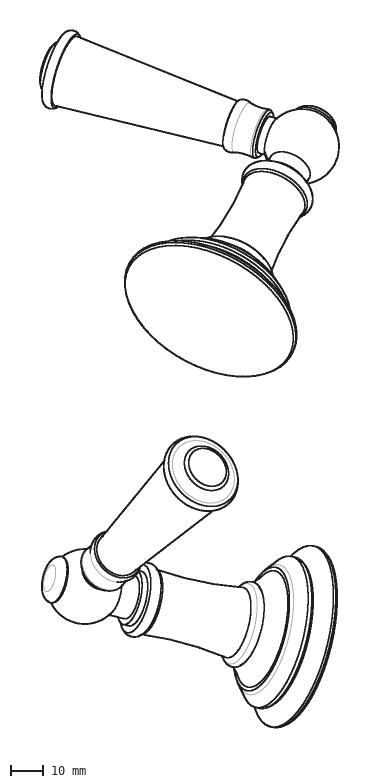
import cadquery as cq

base_radius = 28.3
lever_reach = 112.1 - base_radius
rim_radius = 12.4
ball_height = 84.4 - rim_radius
ball_radius = 11.4

foot_edge = 1.6
foot_face_radius = 27.8
foot_top = 5.8
foot_top_radius = 23.1
step_radius = 23.7
step_bottom = 6.6
step_top = 7.8
shoulder_top = 11.2
shoulder_radius = 20.3
lip_top = 12.0
lip_radius = 19.3
cone_radius = 18.2

bead_bottom = 17.3
bead_top = 19.7
bead_seat_radius = 12.5
bead_radius = 13.3
shaft_bottom = 21.0
shaft_bottom_radius = 11.0
waist_height = 38.1
waist_radius = 9.6
shaft_top = 50.6
shaft_top_radius = 10.2
collar_bottom = 51.3
collar_top = 54.8
collar_edge_radius = 10.6
collar_radius = 11.5
ring_top = 56.7
ring_radius = 8.5
neck_radius = 6.7

cap_top = 84.0
cap_seat = 81.0
cap_seat_radius = 7.0
cap_edge = 81.6
cap_radius = 7.3
cap_top_radius = 4.1
cap_round_point = (6.5, 83.2)

lever_neck_radius = 5.8
ferrule_start = 12.2
ferrule_end_radius = 7.2
ferrule_edge = 13.7
ferrule_edge_radius = 7.7
ferrule_middle = 16.0
ferrule_middle_radius = 7.5
ferrule_bead_start = 19.7
ferrule_bead_seat_radius = 8.0
ferrule_bead_radius = 8.35
grip_start = 22.6
grip_start_radius = 7.2
grip_end = 77.8
grip_end_radius = 11.1
rim_edge_radius = 11.8
rim_end = 80.8
rim_seat_radius = 10.5
end_flare_point = (8.2, 82.2)
end_edge_radius = 7.5
end_face_radius = 6.4
end_bevel = 0.7


def middle(first, second):
    return (first + second) / 2


def revolve_profile(profile):
    """Close a (radius, height) profile onto the Y axis and revolve it."""
    return profile.close().revolve(360, (0, 0), (0, 1))


def make_column():
    profile = (
        cq.Workplane("XY")
        .lineTo(foot_face_radius, 0)
        .lineTo(base_radius, foot_edge / 2)
        .lineTo(base_radius, foot_edge)
        .lineTo(foot_top_radius, foot_top)
        .lineTo(step_radius, step_bottom)
        .lineTo(step_radius, step_top)
        .lineTo(shoulder_radius, shoulder_top)
        .lineTo(lip_radius, lip_top)
        .lineTo(cone_radius, lip_top)
        .lineTo(bead_seat_radius, bead_bottom)
        .threePointArc((bead_radius, middle(bead_bottom, bead_top)), (bead_seat_radius, bead_top))
        .lineTo(shaft_bottom_radius, shaft_bottom)
        .spline([(waist_radius, waist_height), (shaft_top_radius, shaft_top)], includeCurrent=True)
        .lineTo(collar_edge_radius, collar_bottom)
        .threePointArc(
            (collar_radius, middle(collar_bottom, collar_top)),
            (collar_edge_radius, collar_top),
        )
        .lineTo(ring_radius, collar_top)
        .lineTo(ring_radius, ring_top)
        .lineTo(neck_radius, ring_top)
        .lineTo(neck_radius, ball_height)
        .lineTo(0, ball_height)
    )
    return revolve_profile(profile)


def make_cap():
    profile = (
        cq.Workplane("XY")
        .moveTo(0, ball_height)
        .lineTo(cap_seat_radius, ball_height)
        .lineTo(cap_seat_radius, cap_seat)
        .lineTo(cap_radius, cap_edge)
        .threePointArc(cap_round_point, (cap_top_radius, cap_top))
        .lineTo(0, cap_top)
    )
    return revolve_profile(profile)


def make_lever():
    """Build the lever along +Y, then lay it along -X at the ball's height."""
    profile = (
        cq.Workplane("XY")
        .lineTo(lever_neck_radius, 0)
        .lineTo(lever_neck_radius, ferrule_start)
        .lineTo(ferrule_end_radius, ferrule_start)
        .lineTo(ferrule_edge_radius, middle(ferrule_start, ferrule_edge))
        .lineTo(ferrule_edge_radius, ferrule_edge)
        .threePointArc(
            (ferrule_middle_radius, ferrule_middle),
            (ferrule_bead_seat_radius, ferrule_bead_start),
        )
        .threePointArc(
            (ferrule_bead_radius, middle(ferrule_bead_start, grip_start)),
            (ferrule_bead_seat_radius, grip_start),
        )
        .lineTo(grip_start_radius, grip_start)
        .lineTo(grip_end_radius, grip_end)
        .lineTo(rim_edge_radius, grip_end)
        .threePointArc((rim_radius, middle(grip_end, rim_end)), (rim_edge_radius, rim_end))
        .lineTo(rim_seat_radius, rim_end)
        .threePointArc(end_flare_point, (end_edge_radius, lever_reach - end_bevel))
        .lineTo(end_face_radius, lever_reach)
        .lineTo(0, lever_reach)
    )
    upright = revolve_profile(profile)
    return upright.rotate((0, 0, 0), (0, 0, 1), 90).translate((0, ball_height, 0))


ball = cq.Workplane("XY").sphere(ball_radius).translate((0, ball_height, 0))
result = make_column().union(ball).union(make_cap()).union(make_lever())